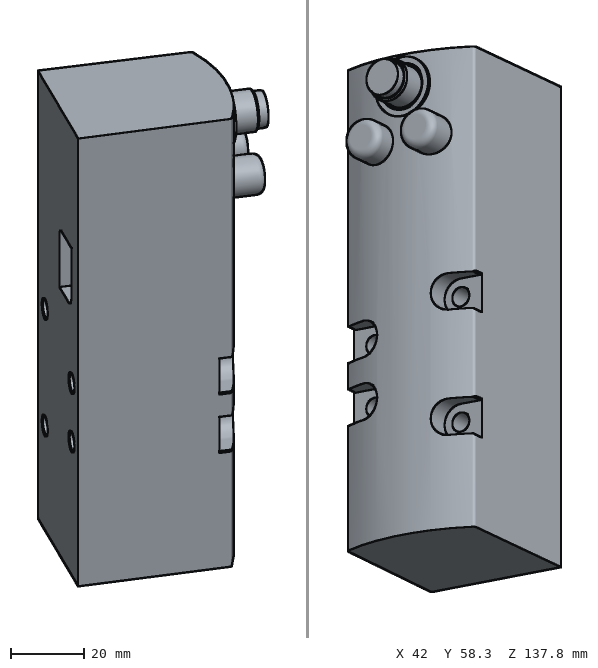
import cadquery as cq

height = 137.8
front_width = 42.0
shoulder_width = 41.3
shoulder_y = 43.5
crown_y = 48.0
shoulder_fillet = 1.0

hole_diameter = 5.5
hole_entry_chamfer = 0.3
hole_offset_x = 13.9
hole_center_z = 50.0
left_hole_spacing = 36.0
right_hole_spacing = left_hole_spacing / 2
slot_width = 10.5
slot_floor_y = 40.1
slot_mouth_bevel = 0.5
slot_mouth_bevel_length = 0.8

pocket_width = 12.4
pocket_height = 18.2
pocket_depth = 5.5
pocket_left_x = 1.5
pocket_bottom_z = 82.4
pocket_upper_fillet = 2.0
pocket_lower_fillet = 3.0

connector_z = 128.5
connector_diameter = 12.0
connector_body_y = 55.5
connector_chamfer = 0.5
tip_diameter = 10.5
tip_y = 58.3
tip_chamfer_length = 0.8
tip_chamfer_inset = 0.1
ring_outer_diameter = 17.0
ring_inner_diameter = 13.2
ring_y = 48.2

knob_z = 113.5
knob_offset_x = 8.8
knob_diameter = 11.5
knob_y = 55.3
knob_fillet = 2.2

root_y = 41.3


def cylinder(x, z, diameter, start_y, end_y):
    """Cylinder along +Y between two depths."""
    disc = cq.Workplane("XZ", origin=(x, start_y, z)).circle(diameter / 2)
    return disc.extrude(start_y - end_y)


def make_body():
    half_front = front_width / 2
    half_shoulder = shoulder_width / 2
    body = (
        cq.Workplane("XY")
        .moveTo(-half_front, 0)
        .lineTo(half_front, 0)
        .lineTo(half_shoulder, shoulder_y)
        .threePointArc((0, crown_y), (-half_shoulder, shoulder_y))
        .close()
        .extrude(height)
    )
    shoulders = cq.selectors.BoxSelector(
        (-front_width, shoulder_y - 1.4, 0), (front_width, shoulder_y + 1.4, height)
    )
    return body.edges("|Z").edges(shoulders).fillet(shoulder_fillet)


def cut_mounting_hole(body, side, z):
    """Through hole with a chamfered entry, and its slot; side is -1 for left, +1 for right."""
    x = side * hole_offset_x
    hole = cylinder(x, z, hole_diameter, 0, crown_y)
    entry = (
        cq.Workplane("XZ", origin=(x, 0, z))
        .circle(hole_diameter / 2 + hole_entry_chamfer)
        .workplane(offset=-hole_entry_chamfer)
        .circle(hole_diameter / 2)
        .loft()
    )
    slot_end = cylinder(x, z, slot_width, slot_floor_y, crown_y)

    half_slot = slot_width / 2
    half_mouth = half_slot + slot_mouth_bevel
    mouth_x = side * front_width / 2
    bevel_start_x = mouth_x - side * slot_mouth_bevel_length
    slot_run = (
        cq.Workplane("XZ", origin=(0, slot_floor_y, z))
        .polyline([
            (x, -half_slot),
            (bevel_start_x, -half_slot),
            (mouth_x, -half_mouth),
            (mouth_x, half_mouth),
            (bevel_start_x, half_slot),
            (x, half_slot),
        ])
        .close()
        .extrude(slot_floor_y - crown_y)
    )
    return body.cut(hole).cut(entry).cut(slot_end).cut(slot_run)


def make_pocket():
    pocket = cq.Workplane("XY").box(pocket_width, pocket_depth, pocket_height, centered=False)
    pocket = pocket.edges("|Y and <X and >Z").fillet(pocket_upper_fillet)
    pocket = pocket.edges("|Y and >X and <Z").fillet(pocket_lower_fillet)
    return pocket.translate((pocket_left_x, 0, pocket_bottom_z))


def make_connector():
    ring = cylinder(0, connector_z, ring_outer_diameter, root_y, ring_y)
    ring = ring.cut(cylinder(0, connector_z, ring_inner_diameter, root_y, ring_y))
    barrel = cylinder(0, connector_z, connector_diameter, root_y, connector_body_y)
    barrel = barrel.faces(">Y").edges().chamfer(connector_chamfer)
    tip = cylinder(0, connector_z, tip_diameter, root_y, tip_y)
    tip = tip.faces(">Y").edges().chamfer(tip_chamfer_length, tip_chamfer_inset)
    return ring.union(barrel).union(tip)


def make_knob(x):
    knob = cylinder(x, knob_z, knob_diameter, root_y, knob_y)
    return knob.faces(">Y").edges().fillet(knob_fillet)


result = make_body().cut(make_pocket())
for side, spacing in ((-1, left_hole_spacing), (1, right_hole_spacing)):
    for step in (-1, 1):
        result = cut_mounting_hole(result, side, hole_center_z + step * spacing / 2)
result = result.union(make_connector())
for side in (-1, 1):
    result = result.union(make_knob(side * knob_offset_x))